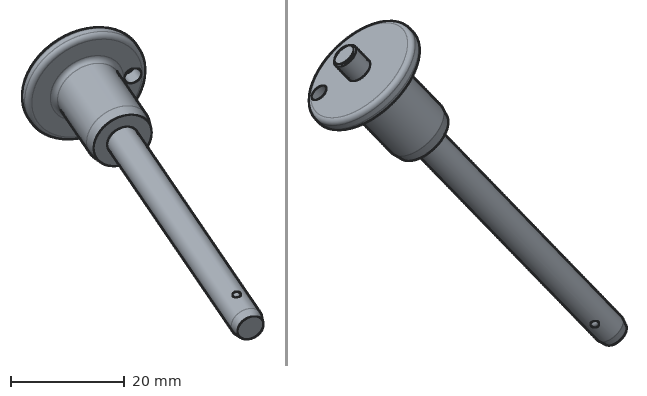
import cadquery as cq
import math

TOTAL_LENGTH = 80.5

BUTTON_RADIUS = 2.4
BUTTON_CHAMFER = 0.3

FLANGE_START = 4.5
FLANGE_THICKNESS = 3.0
FLANGE_RADIUS = 11.5
RIM_ROUND = 1.0
HUB_END = 23.4
HUB_RADIUS = 6.0
HUB_ROOT_FILLET = 1.0
HUB_TAPER_LENGTH = 2.0
HUB_TAPER_DROP = 0.5
LANYARD_HOLE_RADIUS = 1.6
LANYARD_HOLE_OFFSET = 8.8

SHANK_RADIUS = 3.0
TIP_TAPER_LENGTH = 1.7
TIP_TAPER_DROP = 0.5
BALL_RADIUS = 0.8
BALL_TO_TIP = 6.1
BALL_PROTRUSION = 0.5

FLANGE_END = FLANGE_START + FLANGE_THICKNESS
BALL_X = TOTAL_LENGTH - BALL_TO_TIP
BALL_OFFSET = SHANK_RADIUS + BALL_PROTRUSION - BALL_RADIUS


def cylinder(start, end, radius):
    """A cylinder on the X axis between two X positions."""
    return cq.Workplane("YZ", origin=(start, 0, 0)).circle(radius).extrude(end - start)


def make_button():
    """Button standing on the front of the shank, inside the handle bore."""
    return cylinder(0, FLANGE_END, BUTTON_RADIUS).faces("<X").chamfer(BUTTON_CHAMFER)


def make_handle():
    """Flanged handle, bored for the button at the front and the shank behind it."""
    rim_inner = FLANGE_RADIUS - RIM_ROUND
    arc_inset = RIM_ROUND * (1 - math.sqrt(0.5))
    fillet_inset = HUB_ROOT_FILLET * (1 - math.sqrt(0.5))
    profile = (
        cq.Workplane("XY")
        .moveTo(FLANGE_START, 0)
        .lineTo(FLANGE_START, rim_inner)
        .threePointArc(
            (FLANGE_START + arc_inset, FLANGE_RADIUS - arc_inset),
            (FLANGE_START + RIM_ROUND, FLANGE_RADIUS),
        )
        .lineTo(FLANGE_END - RIM_ROUND, FLANGE_RADIUS)
        .threePointArc(
            (FLANGE_END - arc_inset, FLANGE_RADIUS - arc_inset),
            (FLANGE_END, rim_inner),
        )
        .lineTo(FLANGE_END, HUB_RADIUS + HUB_ROOT_FILLET)
        .threePointArc(
            (FLANGE_END + fillet_inset, HUB_RADIUS + fillet_inset),
            (FLANGE_END + HUB_ROOT_FILLET, HUB_RADIUS),
        )
        .lineTo(HUB_END - HUB_TAPER_LENGTH, HUB_RADIUS)
        .lineTo(HUB_END, HUB_RADIUS - HUB_TAPER_DROP)
        .lineTo(HUB_END, 0)
        .close()
    )
    handle = profile.revolve(360, (0, 0, 0), (1, 0, 0))
    button_bore = cylinder(FLANGE_START, FLANGE_END, BUTTON_RADIUS)
    shank_bore = cylinder(FLANGE_END, HUB_END, SHANK_RADIUS)
    lanyard_hole = cylinder(FLANGE_START, FLANGE_END, LANYARD_HOLE_RADIUS)
    lanyard_hole = lanyard_hole.translate((0, LANYARD_HOLE_OFFSET, 0))
    return handle.cut(button_bore).cut(shank_bore).cut(lanyard_hole)


def make_shank():
    """Shank with a tapered tip and a locking ball showing on each of +Z and -Z."""
    profile = (
        cq.Workplane("XY")
        .moveTo(FLANGE_END, 0)
        .lineTo(FLANGE_END, SHANK_RADIUS)
        .lineTo(TOTAL_LENGTH - TIP_TAPER_LENGTH, SHANK_RADIUS)
        .lineTo(TOTAL_LENGTH, SHANK_RADIUS - TIP_TAPER_DROP)
        .lineTo(TOTAL_LENGTH, 0)
        .close()
    )
    shank = profile.revolve(360, (0, 0, 0), (1, 0, 0))
    for side in (1, -1):
        ball = cq.Workplane("XY").sphere(BALL_RADIUS).translate((BALL_X, 0, side * BALL_OFFSET))
        shank = shank.union(ball)
    return shank


button = make_button()
handle = make_handle()
shank = make_shank()

result = cq.Compound.makeCompound([button.val(), handle.val(), shank.val()])